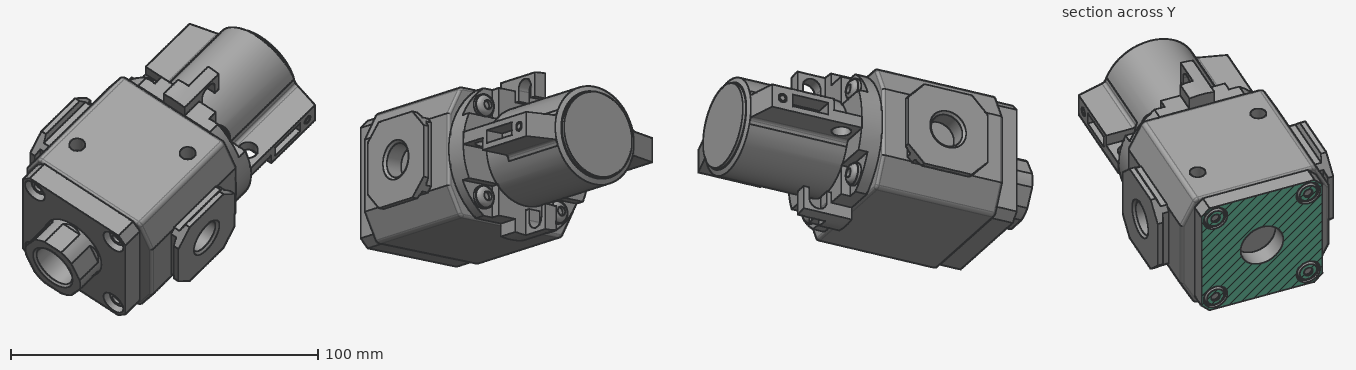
import cadquery as cq
import math

overall_y = 107.5
nose_y = -41.1
cover_y = -30.1
body_front_y = -22.6
body_back_y = 21.5
ring_pocket_y = 25.7
ring_back_y = 29.0
wing_step_y = 39.2
barrel_end_y = 65.4
tip_y = nose_y + overall_y

body_half_x = 26.3
body_half_z = 21.9
body_top_half_x = 21.3
body_side_half_z = 12.1
body_edge_radius = 1.8
body_rim = 1.0

top_hole_dia = 5.2
top_hole_depth = 6.5
top_hole_x = 15.0
top_hole_y = 10.0

overall_x = 62.2
flange_x = overall_x / 2
flange_half = 14.5
flange_corner = 5.8
groove_depth = 2.0
flange_rim = 1.9
flange_flank = 0.8
port_dia = 11.4
port_mouth_dia = 13.2
port_depth = 6.9

cover_half = 21.5
cover_corner = 2.9
nose_dia = 23.0
nose_across_flats = 21.9
flats_start = 1.4
flat_runout = 1.0
flat_runout_angle = 30
bore_dia = 14.9
bore_mouth_dia = 16.6
bore_depth = 19.4

cover_screw_offset = 16.5
ring_screw_offset = 15.4
counterbore_dia = 8.3
counterbore_depth = 3.0
head_dia = 7.2
washer_dia = 7.6
washer_height = 1.1
head_top_dia = 3.4
head_height = 1.6
dome_middle = (3.1, 1.0)
socket_dia = 3.0
socket_depth = 1.3

ring_radius = 26.2
ring_half_z = 21.5
tab_half_x = 4.4
pocket_x = 11.4
pocket_z = 11.0
hook_end_y = 39.1
hook_bottom_z = 17.7
mount_y = 33.9
mount_dia = 6.5
slot_center_z = 21.5

barrel_radius = 16.5
barrel_shoulder = 0.8
barrel_face_dia = 29.2
tip_dia = 28.4
wing_half_x = 26.3
wing_half_z = 4.1
wing_tip_y = 61.9
wing_root_y = 64.6
blend_top = (15.4, 6.0)
blend_knee = (15.8, 4.8)
blend_middle = (16.2, 4.3)
blend_foot_x = 17.0
mount_x = 21.0
window_y = 47.8
window_length = 13.0
window_height = 4.3
window_depth = 6.5
pin_hole_y = 58.0
pin_hole_dia = 3.0
pin_dia = 2.2
pin_hole_depth = 0.9


def span_box(x0, x1, y0, y1, z0, z1):
    """A block between two opposite corners."""
    return cq.Workplane("XY").box(x1 - x0, y1 - y0, z1 - z0, centered=False).translate((x0, y0, z0))


def plane_y(y, x=0, z=0):
    """A sketch plane facing +Y whose local axes are +X and -Z."""
    return cq.Workplane(cq.Plane(origin=(x, y, z), xDir=(1, 0, 0), normal=(0, 1, 0)))


def rod_y(diameter, y0, y1, x=0, z=0):
    """A cylinder along Y."""
    return plane_y(y0, x, z).circle(diameter / 2).extrude(y1 - y0)


def half_turn(shape):
    """The shape turned 180 degrees about the main axis."""
    return shape.rotate((0, 0, 0), (0, 1, 0), 180)


def body():
    corners = [
        (body_top_half_x, body_half_z),
        (body_half_x, body_side_half_z),
        (body_half_x, -body_side_half_z),
        (body_top_half_x, -body_half_z),
        (-body_top_half_x, -body_half_z),
        (-body_half_x, -body_side_half_z),
        (-body_half_x, body_side_half_z),
        (-body_top_half_x, body_half_z),
    ]
    block = plane_y(body_front_y).polyline(corners).close().extrude(body_back_y - body_front_y)
    block = block.edges("|Y and (>Z or <Z)").fillet(body_edge_radius)
    block = block.faces("<Y or >Y").fillet(body_rim)
    for side in (-1, 1):
        hole = cq.Workplane("XY").center(side * top_hole_x, side * top_hole_y).circle(top_hole_dia / 2)
        block = block.cut(hole.extrude(top_hole_depth).translate((0, 0, body_half_z - top_hole_depth)))
    return block


def side_flange():
    """Octagonal flange on +X with a groove along each of its four straight sides."""
    block = span_box(0, flange_x, -flange_half, flange_half, -flange_half, flange_half)
    block = block.edges("|X").chamfer(flange_corner)
    floor = flange_half - groove_depth
    groove = (
        cq.Workplane("XZ")
        .polyline([
            (0, flange_half),
            (flange_x - flange_rim, flange_half),
            (flange_x - flange_rim - flange_flank, floor),
            (0, floor),
        ])
        .close()
        .extrude(flange_half, both=True)
    )
    for turn in range(4):
        block = block.cut(groove.rotate((0, 0, 0), (1, 0, 0), turn * 90))
    return block


def side_port():
    """Blind port with a chamfered mouth, entering from +X."""
    mouth = (port_mouth_dia - port_dia) / 2
    floor_x = flange_x - port_depth
    half_section = [
        (floor_x, 0),
        (flange_x, 0),
        (flange_x, port_mouth_dia / 2),
        (flange_x - mouth, port_dia / 2),
        (floor_x, port_dia / 2),
    ]
    return cq.Workplane("XY").polyline(half_section).close().revolve(360, (0, 0, 0), (1, 0, 0))


def screw_head(x, z, seat_y, direction):
    """Domed screw head with a round socket; direction is the sign of Y it points to."""
    profile = (
        cq.Workplane("XY")
        .lineTo(head_dia / 2, 0)
        .threePointArc(dome_middle, (head_top_dia / 2, head_height))
        .lineTo(socket_dia / 2, head_height)
        .lineTo(socket_dia / 2, head_height - socket_depth)
        .lineTo(0, head_height - socket_depth)
        .close()
    )
    head = profile.revolve(360, (0, 0, 0), (0, 1, 0))
    if direction < 0:
        head = head.rotate((0, 0, 0), (1, 0, 0), 180)
    return head.translate((x, seat_y, z))


def cover():
    plate = span_box(-cover_half, cover_half, cover_y, body_front_y, -cover_half, cover_half)
    plate = plate.edges("|Y").chamfer(cover_corner)
    seat_y = cover_y + counterbore_depth
    for x in (-cover_screw_offset, cover_screw_offset):
        for z in (-cover_screw_offset, cover_screw_offset):
            plate = plate.cut(rod_y(counterbore_dia, cover_y, seat_y, x, z))
            plate = plate.union(screw_head(x, z, seat_y, -1))
    return plate


def nose():
    """Round nose whose outer length has six wrench flats."""
    flats_y = cover_y - flats_start
    corner_dia = nose_across_flats / math.cos(math.pi / 6)
    wrench = plane_y(nose_y).polygon(6, corner_dia).extrude(flats_y - nose_y)
    runout = plane_y(flats_y).polygon(6, corner_dia).extrude(flat_runout, taper=-flat_runout_angle)
    wrench = wrench.union(runout).intersect(rod_y(nose_dia, nose_y, cover_y))
    return wrench.union(rod_y(nose_dia, flats_y + flat_runout, cover_y))


def nose_bore():
    mouth = (bore_mouth_dia - bore_dia) / 2
    floor_y = nose_y + bore_depth
    half_section = [
        (0, nose_y),
        (bore_mouth_dia / 2, nose_y),
        (bore_dia / 2, nose_y + mouth),
        (bore_dia / 2, floor_y),
        (0, floor_y),
    ]
    return cq.Workplane("XY").polyline(half_section).close().revolve(360, (0, 0, 0), (0, 1, 0))


def ring():
    """Disc cut flat above and below except for a tab, with screw pockets in its corners."""
    disc = rod_y(2 * ring_radius, body_back_y, ring_back_y)
    wide = span_box(-ring_radius, ring_radius, body_back_y, ring_back_y, -ring_half_z, ring_half_z)
    tab = span_box(-tab_half_x, tab_half_x, body_back_y, ring_back_y, -ring_radius, ring_radius)
    disc = disc.intersect(wide.union(tab))
    pocket = span_box(pocket_x, ring_radius, ring_pocket_y, ring_back_y, pocket_z, ring_radius)
    for shape in (pocket, pocket.mirror("YZ")):
        disc = disc.cut(shape).cut(shape.mirror("XY"))
    washer_top_y = ring_pocket_y + washer_height
    for x in (-ring_screw_offset, ring_screw_offset):
        for z in (-ring_screw_offset, ring_screw_offset):
            disc = disc.union(rod_y(washer_dia, ring_pocket_y, washer_top_y, x, z))
            disc = disc.union(screw_head(x, z, washer_top_y, 1))
    return disc


def hook():
    """Upper hook: a half-width extension of the tab with a slot open towards the barrel."""
    arm = rod_y(2 * ring_radius, body_back_y, hook_end_y)
    arm = arm.intersect(span_box(0, tab_half_x, body_back_y, hook_end_y, hook_bottom_z, ring_radius))
    slot = cq.Workplane("YZ").center(mount_y, slot_center_z).circle(mount_dia / 2).extrude(tab_half_x)
    half = mount_dia / 2
    opening = span_box(0, tab_half_x, mount_y - half, mount_y + half, hook_bottom_z, slot_center_z)
    return arm.cut(slot).cut(opening)


def barrel():
    """Plain barrel with a tapered shoulder and a short end cap."""
    half_section = [
        (0, ring_back_y),
        (barrel_radius, ring_back_y),
        (barrel_radius, barrel_end_y - barrel_shoulder),
        (barrel_face_dia / 2, barrel_end_y),
        (tip_dia / 2, barrel_end_y),
        (tip_dia / 2, tip_y),
        (0, tip_y),
    ]
    return cq.Workplane("XY").polyline(half_section).close().revolve(360, (0, 0, 0), (0, 1, 0))


def wing():
    """Wing on the -X side, blended into the barrel, with a stepped mounting lug."""
    outline = [
        (0, ring_back_y),
        (-wing_half_x, ring_back_y),
        (-wing_half_x, wing_tip_y),
        (-barrel_radius, wing_root_y),
        (0, wing_root_y),
    ]
    blend_z = blend_top[1]
    blank = cq.Workplane("XY").polyline(outline).close().extrude(blend_z, both=True)
    upper_section = (
        plane_y(ring_back_y)
        .lineTo(-wing_half_x, 0)
        .lineTo(-wing_half_x, -wing_half_z)
        .lineTo(-blend_foot_x, -wing_half_z)
        .threePointArc((-blend_middle[0], -blend_middle[1]), (-blend_knee[0], -blend_knee[1]))
        .lineTo(-blend_top[0], -blend_z)
        .lineTo(0, -blend_z)
        .close()
    )
    upper = upper_section.extrude(wing_root_y - ring_back_y)
    blank = blank.intersect(upper.union(upper.mirror("XY")))
    step = span_box(-wing_half_x, 0, ring_back_y, wing_step_y, 0, blend_z)
    hole = cq.Workplane("XY").center(-mount_x, mount_y).circle(mount_dia / 2).extrude(wing_half_z, both=True)
    window = span_box(
        -wing_half_x,
        -wing_half_x + window_depth,
        window_y - window_length / 2,
        window_y + window_length / 2,
        -window_height / 2,
        window_height / 2,
    )
    pin_ring = cq.Workplane("YZ").center(pin_hole_y, 0).circle(pin_hole_dia / 2).circle(pin_dia / 2)
    pin_ring = pin_ring.extrude(pin_hole_depth).translate((-wing_half_x, 0, 0))
    return blank.cut(step).cut(hole).cut(window).cut(pin_ring)


result = body()
for feature in (side_flange(), half_turn(side_flange()), cover(), nose(), ring(), barrel()):
    result = result.union(feature)
for feature in (hook(), wing()):
    result = result.union(feature).union(half_turn(feature))
result = result.cut(nose_bore()).cut(side_port()).cut(half_turn(side_port()))